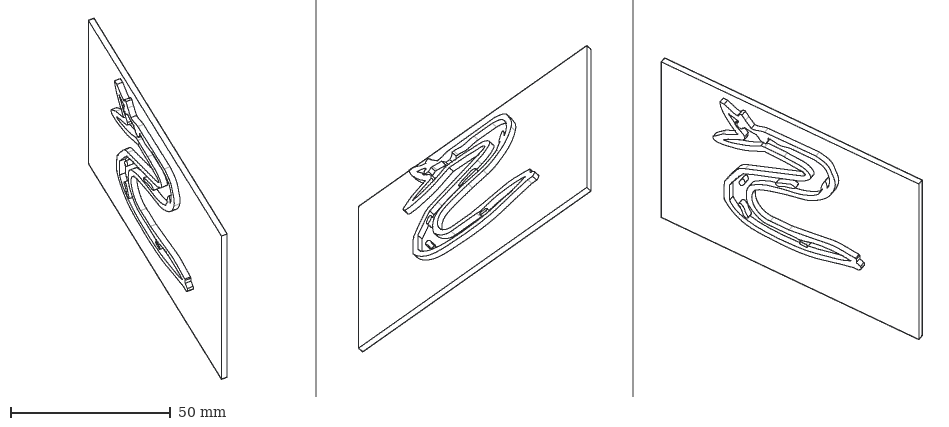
import cadquery as cq

plate_width = 96.0
plate_height = 72.0
plate_thickness = 2.0
relief_height = plate_thickness


snake_start = (-24.9, 32.8)
snake_outer_edge = [
    [(-23.2, 32.8)],
    [(-21.1, 31.6), (-19.4, 30.7), (-18.0, 30.4)],
    [(-18.0, 31.0), (-17.3, 31.7), (-16.6, 31.7)],
    [(-15.4, 30.0)],
    [(-13.2, 27.6)],
    [(-11.0, 27.8), (-9.6, 28.4), (-8.2, 28.7)],
    [(10.9, 29.0)],
    [(13.2, 28.3), (15.7, 26.8), (16.9, 24.5), (18.0, 21.7), (18.0, 18.3)],
    [(17.0, 15.4), (14.9, 11.9), (11.5, 8.8), (9.2, 7.3), (6.2, 6.1)],
    [(0.0, 4.6)],
    [(-3.8, 3.5), (-7.7, 2.1), (-11.9, -0.6), (-13.0, -4.3), (-12.2, -7.4), (-9.6, -10.3), (-6.0, -11.1)],
    [(1.0, -11.1)],
    [(5.8, -10.4), (12.0, -9.5), (17.3, -8.7), (21.1, -9.0), (25.7, -9.7)],
    [(26.0, -10.0)],
    [(26.0, -11.4)],
    [(27.6, -12.4)],
    [(27.8, -13.1), (27.6, -13.8), (27.0, -14.4)],
    [(25.0, -14.4)],
    [(21.1, -15.4), (14.4, -17.4), (8.6, -18.8), (-1.9, -19.5), (-9.6, -19.1), (-15.4, -18.0),
     (-19.2, -15.7), (-23.3, -10.8)],
    [(-23.3, -5.3)],
    [(-23.0, -2.7)],
    [(-21.8, -0.2), (-20.0, 2.9), (-17.3, 6.6), (-15.4, 7.6)],
    [(6.0, 16.8)],
    [(6.9, 17.9), (5.6, 18.8)],
    [(0.0, 19.4), (-8.1, 19.8)],
    [(-10.1, 18.8), (-14.4, 16.5), (-21.1, 14.4), (-25.0, 13.8), (-27.0, 14.2), (-27.5, 15.4)],
    [(-23.9, 18.6)],
    [(-21.1, 20.1), (-18.2, 21.8)],
    [(-20.6, 24.4), (-22.8, 27.4), (-24.4, 30.6), snake_start],
]

recess_start = (-21.6, 29.3)
recess_edge = [
    [(-20.2, 28.9), (-18.1, 28.1)],
    [(-18.0, 27.5)],
    [(-18.5, 26.6)],
    [(-18.5, 25.8)],
    [(-18.0, 25.2)],
    [(-16.8, 25.2)],
    [(-15.6, 26.3)],
    [(-15.0, 26.3)],
    [(-13.0, 25.9), (-11.2, 25.7)],
    [(-10.2, 24.6), (-9.4, 23.6)],
    [(-7.8, 23.6)],
    [(-7.1, 24.8), (-6.9, 26.6)],
    [(-6.1, 26.6)],
    [(-4.3, 26.3), (-2.9, 26.0), (-1.0, 26.3), (2.4, 26.9)],
    [(10.1, 26.9)],
    [(12.4, 26.3), (14.1, 25.3), (15.3, 23.6), (15.9, 21.1), (15.8, 18.5), (15.1, 16.5)],
    [(15.0, 18.0), (14.4, 19.2), (13.8, 18.4), (13.2, 14.9)],
    [(12.6, 13.3), (11.8, 11.7)],
    [(10.1, 10.3), (8.2, 9.1), (4.3, 7.6), (0.0, 6.7), (-4.3, 5.7), (-7.7, 4.6), (-10.6, 3.1),
     (-13.6, 0.8), (-15.0, -3.4), (-14.4, -8.2)],
    [(-11.5, -11.4), (-9.6, -12.7), (-7.2, -13.2)],
    [(3.6, -13.2)],
    [(4.8, -13.5)],
    [(6.7, -12.9), (10.1, -11.9), (15.8, -11.2), (22.1, -11.5)],
    [(23.9, -11.9)],
    [(21.1, -13.2), (14.4, -15.2), (8.6, -16.6), (3.8, -17.2), (-4.8, -17.4), (-10.6, -16.8),
     (-14.4, -15.8), (-17.8, -14.3), (-21.2, -10.4)],
    [(-21.2, -3.4)],
    [(-19.9, -1.2), (-17.8, 2.4), (-16.2, 4.7)],
    [(-12.9, 6.4)],
    [(3.8, 13.3)],
    [(6.0, 14.5), (8.2, 16.3), (9.0, 17.9), (7.2, 20.4), (4.8, 21.1), (-1.0, 21.7)],
    [(-8.2, 21.8)],
    [(-9.6, 21.6)],
    [(-11.0, 20.6), (-13.4, 19.3), (-17.3, 17.8), (-21.1, 16.5), (-23.4, 16.2)],
    [(-22.4, 17.1), (-19.2, 18.8), (-15.6, 20.9)],
    [(-15.6, 22.4)],
    [(-16.3, 23.2), (-18.5, 25.1)],
    [(-19.2, 25.9)],
    [(-19.3, 26.5)],
    [recess_start],
]

spots = [
    [(-4.0, 7.6), (-2.8, 8.4), (0.0, 9.7), (1.9, 10.4), (3.2, 9.7), (0.5, 8.4), (-1.9, 7.4), (-3.7, 6.9)],
    [(-17.7, 0.0), (-17.2, 1.2), (-16.0, 2.3), (-15.6, 1.3), (-16.0, -0.2), (-17.1, -1.1)],
    [(-18.0, -10.4), (-17.1, -9.6), (-15.8, -10.8), (-15.1, -13.0), (-14.4, -14.6), (-15.3, -15.0),
     (-16.5, -13.0), (-17.9, -10.9)],
]

tail_spot_center = (6.3, -14.7)
tail_spot_length = 3.1
tail_spot_width = 1.2


def raised_outline(start, stretches):
    """Extrude a closed chain of straight and curved stretches forward from the plate face."""
    chain = cq.Workplane("XZ").moveTo(*start)
    for points in stretches:
        if len(points) == 1:
            chain = chain.lineTo(*points[0])
        else:
            chain = chain.spline(points, includeCurrent=True)
    return chain.wire().extrude(relief_height)


def raised_spot(points):
    """Extrude a smooth closed loop forward from the plate face."""
    return cq.Workplane("XZ").spline(points, periodic=True).wire().extrude(relief_height)


plate = cq.Workplane("XZ").rect(plate_width, plate_height).extrude(-plate_thickness)
snake_body = raised_outline(snake_start, snake_outer_edge)
recess = raised_outline(recess_start, recess_edge)
tail_spot = (
    cq.Workplane("XZ")
    .center(*tail_spot_center)
    .slot2D(tail_spot_length, tail_spot_width)
    .extrude(relief_height)
)

result = plate.union(snake_body.cut(recess)).union(tail_spot)
for spot in spots:
    result = result.union(raised_spot(spot))